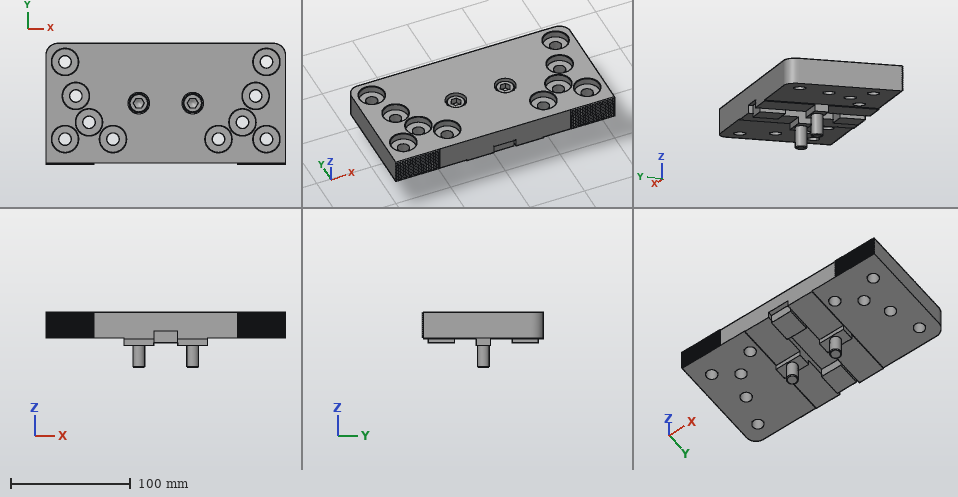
import cadquery as cq
import math

length = 200.0
depth = 100.0
thickness = 21.5
corner_radius = 10.0

tooth_height = 1.0
tooth_count = 13
strip_length = 40.0
strip_seat_depth = 2.0

band_length = 70.0
band_height = 0.8
slot_width = 20.0
slot_roof_z = -15.5

key_length = 22.0
key_thickness = 10.0
key_center_y = 35.0

hole_diameter = 10.2
counterbore_diameter = 22.0
counterbore_depth = 6.2
counterbore_chamfer = 0.5
mounting_points = [(84.0, 34.5), (75.0, 6.0), (64.0, -16.0), (84.0, -30.0), (44.0, -30.0)]

screw_bottom_z = -46.0
screw_diameter = 10.0
screw_tip_chamfer = 0.8
head_diameter = 16.0
head_height = 10.0
head_top_z = -1.8
head_chamfer = 0.8
head_pocket_diameter = 18.0
socket_width = 8.0
socket_depth = 5.0
socket_cone_depth = 2.5
nut_width = 12.0
nut_bottom_z = -27.8

HEX_CORNER_RATIO = 2 / math.sqrt(3)
band_bottom_z = -thickness - band_height
nut_length = (band_length - slot_width) / 2
screw_x = (slot_width + nut_length) / 2
head_seat_z = head_top_z - head_height


def box(size_x, size_y, bottom_z, top_z, center_x=0.0, center_y=0.0):
    """Box standing on bottom_z and reaching up to top_z."""
    return (
        cq.Workplane("XY", origin=(center_x, center_y, bottom_z))
        .rect(size_x, size_y)
        .extrude(top_z - bottom_z)
    )


def cylinder(diameter, bottom_z, top_z, center_x=0.0, center_y=0.0):
    """Upright cylinder from bottom_z up to top_z."""
    return (
        cq.Workplane("XY", origin=(center_x, center_y, bottom_z))
        .circle(diameter / 2)
        .extrude(top_z - bottom_z)
    )


def plate():
    """Plate with rounded +Y corners, the raised band and the key slot."""
    body = box(length, depth, -thickness, 0).edges("|Z and >Y").fillet(corner_radius)
    body = body.union(box(band_length, depth, band_bottom_z, -thickness))
    return body.cut(box(slot_width, depth, band_bottom_z, slot_roof_z))


def strip_seat(start_x):
    """Cutter for the recess in the front face that a serrated strip fills."""
    center_x = start_x + strip_length / 2
    center_y = (strip_seat_depth - depth) / 2
    return box(strip_length, strip_seat_depth, -thickness, 0, center_x, center_y)


def serrated_strip(start_x):
    """Strip with horizontal triangular teeth over the full plate thickness."""
    pitch = thickness / tooth_count
    front_y = -depth / 2
    back_y = front_y + strip_seat_depth
    profile = cq.Workplane("YZ", origin=(start_x, 0, 0))
    profile = profile.moveTo(back_y, 0).lineTo(front_y, 0)
    for tooth in range(tooth_count):
        profile = profile.lineTo(front_y - tooth_height, -(tooth + 0.5) * pitch)
        profile = profile.lineTo(front_y, -(tooth + 1) * pitch)
    return profile.lineTo(back_y, -thickness).close().extrude(strip_length)


def mounting_hole(x, y):
    """Cutter for a through hole with a chamfered counterbore."""
    pocket = cylinder(counterbore_diameter, -counterbore_depth, 0, x, y)
    rim = (
        cq.Workplane("XY", origin=(x, y, 0))
        .circle(counterbore_diameter / 2 + counterbore_chamfer)
        .workplane(offset=-counterbore_chamfer)
        .circle(counterbore_diameter / 2)
        .loft()
    )
    return cylinder(hole_diameter, -thickness, 0, x, y).union(pocket).union(rim)


def hex_socket(x):
    """Cutter for a hexagonal socket whose floor is a cone narrowing to a point."""
    hex_corner_radius = socket_width * HEX_CORNER_RATIO / 2
    floor_z = head_top_z - socket_depth
    tip_z = floor_z - socket_cone_depth
    hexagon = (
        cq.Workplane("XY", origin=(x, 0, tip_z))
        .polygon(6, 2 * hex_corner_radius)
        .extrude(head_top_z - tip_z)
    )
    cone = cq.Solid.makeCone(0, hex_corner_radius, socket_cone_depth, cq.Vector(x, 0, tip_z))
    straight_part = cylinder(2 * hex_corner_radius, floor_z, head_top_z, x)
    return hexagon.intersect(straight_part.union(cq.Workplane(cone)))


def clamping_screw(x):
    """Socket head screw with a nut under the plate."""
    head = cylinder(head_diameter, head_seat_z, head_top_z, x).faces(">Z").chamfer(head_chamfer)
    shank = cylinder(screw_diameter, screw_bottom_z, head_seat_z, x).faces("<Z").chamfer(screw_tip_chamfer)
    nut = box(nut_length, nut_width, nut_bottom_z, band_bottom_z, x)
    return head.union(shank).cut(hex_socket(x)).union(nut)


result = plate()
for strip_start_x in (-length / 2, length / 2 - strip_length):
    result = result.cut(strip_seat(strip_start_x))
    result = result.union(serrated_strip(strip_start_x))
for side in (-1, 1):
    for hole_x, hole_y in mounting_points:
        result = result.cut(mounting_hole(side * hole_x, hole_y))
    result = result.cut(cylinder(head_pocket_diameter, head_seat_z, 0, side * screw_x))
    result = result.union(clamping_screw(side * screw_x))
    key_y = side * key_center_y
    result = result.union(box(slot_width, key_length, slot_roof_z - key_thickness, slot_roof_z, 0, key_y))